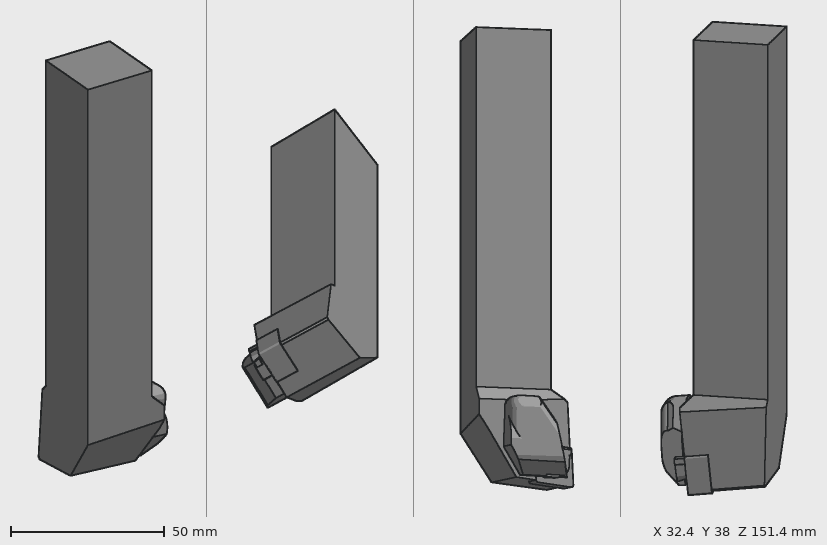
import cadquery as cq
import math

total_height = 151.4
shank_side = 25.0
head_top = 32.1
head_thickness = 29.8

insert_edge = 12.9
insert_angle = 80.0
insert_thickness = 7.9
insert_nose_radius = 0.8
overall_width = 32.4

nose_shortfall = insert_nose_radius * (math.sqrt(0.5) / math.sin(math.radians(insert_angle / 2)) - 1)
corner_y = 24.8
corner_point = (shank_side - overall_width - nose_shortfall, corner_y, -nose_shortfall)
slope_x = 0.098
slope_z = 0.12
seat = cq.Plane(origin=corner_point, xDir=(1, slope_x, 0), normal=(slope_x, -1, slope_z))

edge_lean = math.radians((90 - insert_angle) / 2)
flank_setback = 0.6
corner_chamfer = 0.8
head_reach = 60.5
heel_start = 20.9
heel_angle = math.radians(33.5)

clamp_height = 8.3
clamp_sink = 0.5
clamp_right = 24.4
clamp_back = 28.8
clamp_toe = 3.0
toe_height = 3.2
brow = (7.5, 7.3)
brow_middle = (10.3, 8.2)
brow_end = 14.4
clamp_back_radius = 4.2
clamp_right_radius = 3.8
flank_foot = (7.1, 20.0)
flank_lean = math.radians(38)
flank_wall_height = 3.8
flank_draft_height = 5.8
flank_draft_run = 0.8
flank_radius = clamp_height - flank_draft_height
flank_corner_radius = 3.8
clamp_heel_start = 12.1
clamp_reach = 45.4

front_point = (-3.5, 30.3, 6)
front_normal = (-1, 0.16, 0.22)

relief_width = 6.8
relief_length = 20.0
relief_height = 1.0

finger_left = 2.9
finger_bottom = 2.7
finger_width = 7.5
finger_length = 7.4
finger_thickness = 3.6
finger_nose_radius = 4.1
stop_length = 2.0
stop_overhang = 0.5


def along_left_edge(distance):
    return (distance * math.sin(edge_lean), distance * math.cos(edge_lean))


def along_bottom_edge(distance):
    return (distance * math.cos(edge_lean), distance * math.sin(edge_lean))


def make_insert():
    left = along_left_edge(insert_edge)
    right = along_bottom_edge(insert_edge)
    far = (left[0] + right[0], left[1] + right[1])
    plate = cq.Workplane(seat).polyline([(0, 0), right, far, left]).close().extrude(insert_thickness)
    depth_direction = cq.selectors.ParallelDirSelector(seat.zDir)
    return plate.edges(depth_direction).fillet(insert_nose_radius)


def make_head():
    setback = flank_setback * math.sqrt(0.5) / math.sin(math.radians(insert_angle / 2))
    left = along_left_edge(head_reach)
    heel_u = shank_side - corner_point[0] - slope_x * head_thickness
    heel_v = heel_start - slope_z * head_thickness
    lean = math.tan(edge_lean)
    heel_run = math.tan(heel_angle)
    bottom_v = (setback + lean * (heel_u - setback - heel_run * heel_v)) / (1 - lean * heel_run)
    bottom_u = heel_u - heel_run * (heel_v - bottom_v)
    top_u = heel_u + heel_run * (head_reach - heel_v)
    start_left = along_left_edge(corner_chamfer)
    start_bottom = along_bottom_edge(corner_chamfer)
    outline = [
        (setback + start_bottom[0], setback + start_bottom[1]),
        (bottom_u, bottom_v),
        (top_u, head_reach),
        (setback + left[0], head_reach),
        (setback + start_left[0], setback + start_left[1]),
    ]
    prism = cq.Workplane(seat).polyline(outline).close().extrude(head_reach)
    return prism.intersect(make_head_envelope())


def make_head_envelope():
    spread = head_top + head_thickness
    flare = (
        cq.Workplane("XY", origin=(0, 0, head_top))
        .rect(shank_side, shank_side, centered=False)
        .workplane(offset=-spread)
        .polyline([
            (-spread, 0),
            (shank_side, 0),
            (shank_side, shank_side + spread),
            (-spread, shank_side + spread),
        ])
        .close()
        .loft(ruled=True)
    )
    slab = cq.Workplane("XY", origin=(-spread, 0, -spread)).box(
        2 * spread, head_thickness, 2 * spread, centered=False
    )
    return flare.intersect(slab)


def make_shank():
    foot = cq.Workplane("XY", origin=(0, 0, head_top))
    return foot.rect(shank_side, shank_side, centered=False).extrude(total_height - head_top)


def make_clamp_profile():
    side = cq.Plane(origin=corner_point, xDir=-seat.zDir, normal=seat.xDir)
    diagonal = clamp_back_radius * math.sqrt(0.5)
    return (
        cq.Workplane(side)
        .moveTo(-clamp_sink, clamp_toe)
        .lineTo(toe_height, clamp_toe)
        .lineTo(brow[1], brow[0])
        .threePointArc((brow_middle[1], brow_middle[0]), (clamp_height, brow_end))
        .lineTo(clamp_height, clamp_back - clamp_back_radius)
        .threePointArc(
            (clamp_height - clamp_back_radius + diagonal, clamp_back - clamp_back_radius + diagonal),
            (clamp_height - clamp_back_radius, clamp_back),
        )
        .lineTo(-clamp_sink, clamp_back)
        .close()
        .extrude(clamp_right)
        .edges(cq.selectors.NearestToPointSelector(
            side.toWorldCoords((clamp_height, (brow_end + clamp_back) / 2, clamp_right))))
        .fillet(clamp_right_radius)
    )


def make_clamp_flank():
    along = seat.xDir * math.sin(flank_lean) + seat.yDir * math.cos(flank_lean)
    inward = seat.xDir * math.cos(flank_lean) - seat.yDir * math.sin(flank_lean)
    foot = seat.toWorldCoords(flank_foot)
    section = cq.Plane(origin=foot - along * clamp_reach, xDir=inward, normal=along)
    flat_start = flank_draft_run + flank_radius
    diagonal = flank_radius * math.sqrt(0.5)
    return (
        cq.Workplane(section)
        .moveTo(0, -clamp_sink)
        .lineTo(0, flank_wall_height)
        .lineTo(flank_draft_run, flank_draft_height)
        .threePointArc((flat_start - diagonal, flank_draft_height + diagonal), (flat_start, clamp_height))
        .lineTo(clamp_reach, clamp_height)
        .lineTo(clamp_reach, -clamp_sink)
        .close()
        .extrude(2 * clamp_reach)
    )


def make_clamp_plan():
    back_run = (clamp_back - flank_foot[1]) * math.tan(flank_lean)
    foot_run = flank_foot[1] * math.tan(flank_lean)
    return (
        cq.Workplane(seat)
        .polyline([
            (flank_foot[0] - foot_run, 0),
            (flank_foot[0] + back_run, clamp_back),
            (clamp_right, clamp_back),
            (clamp_right, clamp_heel_start),
            (clamp_right - clamp_heel_start * math.tan(heel_angle), 0),
        ])
        .close()
        .extrude(clamp_sink + clamp_height)
        .translate(seat.zDir * -clamp_height)
        .edges(cq.selectors.NearestToPointSelector(
            seat.toWorldCoords((flank_foot[0] + back_run, clamp_back, -clamp_height / 2))))
        .fillet(flank_corner_radius)
    )


def make_clamp():
    front = cq.Plane(origin=front_point, normal=front_normal)
    front_cut = cq.Workplane(front).rect(2 * clamp_reach, 2 * clamp_reach).extrude(clamp_reach)
    body = make_clamp_profile().intersect(make_clamp_flank()).intersect(make_clamp_plan())
    relief = (
        cq.Workplane(seat)
        .rect(2 * relief_width, 2 * relief_length)
        .extrude(clamp_sink + relief_height)
        .translate(seat.zDir * -relief_height)
    )
    return body.cut(front_cut).cut(relief)


def make_finger():
    finger = (
        cq.Workplane(seat)
        .moveTo(finger_left, finger_bottom)
        .rect(finger_width, finger_length, centered=False)
        .extrude(-finger_thickness)
        .edges(cq.selectors.NearestToPointSelector(
            seat.toWorldCoords((finger_left, finger_bottom, -finger_thickness / 2))))
        .fillet(finger_nose_radius)
    )
    stop = (
        cq.Workplane(seat)
        .moveTo(finger_left - stop_overhang, finger_bottom + finger_length)
        .rect(finger_width, stop_length, centered=False)
        .extrude(-finger_thickness)
    )
    return finger.union(stop)


def make_holder(insert):
    body = make_shank().union(make_head()).union(make_clamp()).union(make_finger())
    return body.cut(insert)


insert = make_insert()
holder = make_holder(insert)
result = cq.Compound.makeCompound([holder.val(), insert.val()])